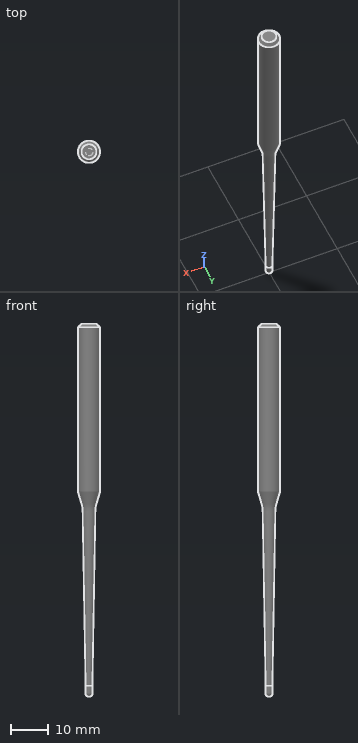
import cadquery as cq

total_length = 100.0
shank_radius = 3.0

end_chamfer_height = 1.0
end_chamfer_width = 1.0

shoulder_top = 55.0
shoulder_bottom = 51.6
shoulder_bottom_radius = 2.0
neck_top = 50.0
neck_top_radius = 1.75

neck_bottom = 4.5
relief_radius = 0.97

head_top = 3.0
head_taper_height = 0.3
head_radius = 1.0


def make_shank():
    """Shank, shoulder, tapered neck and relief, turned as one solid."""
    profile = (
        cq.Workplane("XZ")
        .moveTo(0, head_top)
        .lineTo(relief_radius, head_top)
        .lineTo(relief_radius, neck_bottom)
        .lineTo(neck_top_radius, neck_top)
        .tangentArcPoint((shoulder_bottom_radius, shoulder_bottom), relative=False)
        .lineTo(shank_radius, shoulder_top)
        .lineTo(shank_radius, total_length - end_chamfer_height)
        .lineTo(shank_radius - end_chamfer_width, total_length)
        .lineTo(0, total_length)
        .close()
    )
    return profile.revolve(360, (0, 0, 0), (0, 1, 0))


def make_cutting_head():
    """Short cylinder with an upper rim tapering to the relief and a hemispherical tip."""
    diagonal = head_radius * 0.5 ** 0.5
    profile = (
        cq.Workplane("XZ")
        .moveTo(0, 0)
        .threePointArc((diagonal, head_radius - diagonal), (head_radius, head_radius))
        .lineTo(head_radius, head_top - head_taper_height)
        .lineTo(relief_radius, head_top)
        .lineTo(0, head_top)
        .close()
    )
    return profile.revolve(360, (0, 0, 0), (0, 1, 0))


shank = make_shank()
cutting_head = make_cutting_head()

result = cq.Compound.makeCompound([shank.val(), cutting_head.val()])